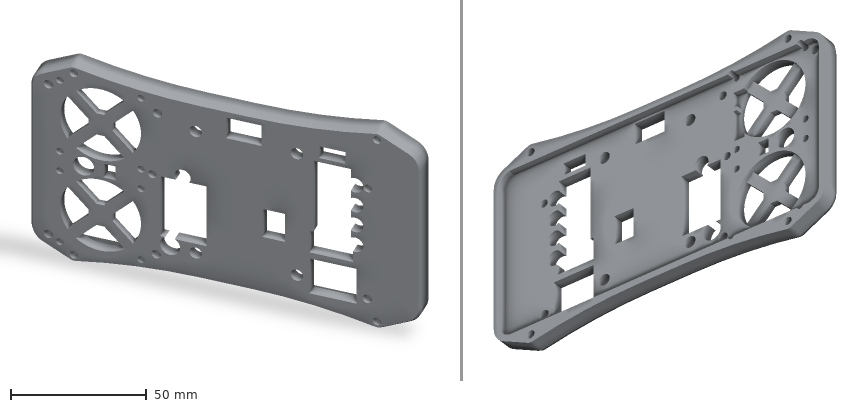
import cadquery as cq
import math

length = 154.2
thickness = 8.0
back_y = thickness / 2

waist_half_height = 39.6
waist_half_flat = 10.0
ear_x = 59.8
ear_z = 41.0
ear_radius = 3.5
corner_radius = 8.0
corner_x = length / 2 - corner_radius
corner_z = 31.5

chamfer_inset = 1.0
chamfer_depth = 1.5

web_thickness = 4.6
rim_width = 2.8
pocket_depth = thickness - web_thickness
pocket_half_height = waist_half_height - rim_width

fan_x = -49.3
fan_offset_z = 20.43
fan_radius = 16.0
fan_hub_size = 9.5
fan_spoke_width = 4.6
fan_spoke_thickness = 3.0
fan_screw_pitch = 32.0
fan_screw_diameter = 3.0

strip_left = -37.0
strip_right = -31.8
strip_thickness = 1.7
strip_bottom = 8.5
strip_top = 30.4
strip_rib_bottom = 22.0
strip_rib_top = 23.7

round_holes = [
    (-56.0, 0, 8.3),
    (-69.9, 33.6, 3.7),
    (-69.9, -34.1, 3.7),
    (-26.8, 31.3, 3.7),
    (-28.8, 3.2, 3.4),
    (-27.3, -32.5, 3.7),
    (56.3, 18.2, 3.4),
    (56.0, -31.8, 3.7),
]
ear_hole_diameter = 3.4
post_hole_diameter = 5.0
post_hole_xs = (-11.7, 28.2)
post_hole_zs = (26.8, -28.0)

plain_windows = [
    (-48.1, -3.1, -43.3, 3.1),
    (0.3, 26.8, 14.2, 36.1),
    (14.6, -14.2, 23.6, -1.5),
    (37.0, 27.1, 47.3, 32.4),
    (33.2, -35.0, 51.8, -19.3),
]

left_window = (-25.8, -23.9, -7.5, 3.1)
left_notches = [(-17.0, 5.0, 6.5), (-21.9, -27.5, 8.0)]

right_window_step_z = -6.8
right_window_upper = (34.7, right_window_step_z, 49.5, 25.3)
right_window_lower = (33.2, -16.5, 50.5, right_window_step_z)
notch_x = 51.2
notch_top_z = 18.3
notch_pitch = 9.0
notch_count = 4
notch_diameter = 6.5


def back_plane():
    """Sketch plane on the back face, with local axes X and Z; extruding goes toward the front."""
    return cq.Workplane("XZ", origin=(0, back_y, 0))


def on_circle(center, radius, angle):
    return (center[0] + radius * math.cos(angle), center[1] + radius * math.sin(angle))


def outline_prism(inset, depth):
    """Prism of the plate outline moved inward by inset, extruded forward from the back face."""
    ear = (ear_x, ear_z)
    corner = (corner_x, corner_z)
    half_height = waist_half_height - inset
    ear_r = ear_radius - inset
    corner_r = corner_radius - inset

    run = ear_x - waist_half_flat
    rise = ear_z - half_height
    waist_r = (run**2 + rise**2 - ear_r**2) / (2 * (ear_r + rise))
    waist = (waist_half_flat, half_height + waist_r)
    waist_start = -math.pi / 2
    waist_end = math.atan2(ear[1] - waist[1], ear[0] - waist[0])
    ear_start = waist_end + math.pi

    gap = math.hypot(corner_x - ear_x, corner_z - ear_z)
    heading = math.atan2(corner_z - ear_z, corner_x - ear_x)
    edge_normal = heading + math.acos((ear_r - corner_r) / gap)

    quarter = (
        back_plane()
        .lineTo(0, half_height)
        .lineTo(waist_half_flat, half_height)
        .threePointArc(
            on_circle(waist, waist_r, (waist_start + waist_end) / 2),
            on_circle(waist, waist_r, waist_end),
        )
        .threePointArc(
            on_circle(ear, ear_r, (ear_start + edge_normal) / 2),
            on_circle(ear, ear_r, edge_normal),
        )
        .lineTo(*on_circle(corner, corner_r, edge_normal))
        .threePointArc(on_circle(corner, corner_r, edge_normal / 2), on_circle(corner, corner_r, 0))
        .lineTo(length / 2 - inset, 0)
        .close()
        .extrude(depth)
    )
    half = quarter.union(quarter.mirror("YZ"))
    return half.union(half.mirror("XY")).clean()


def chamfered_plate():
    plate = outline_prism(0, thickness)
    front_edges = plate.faces("<Y").edges().vals()
    return cq.Workplane(plate.val().chamfer(chamfer_depth, chamfer_inset, front_edges))


def back_pocket():
    level_band = back_plane().rect(length, 2 * pocket_half_height).extrude(pocket_depth)
    return outline_prism(rim_width, pocket_depth).intersect(level_band)


def hole(x, z, diameter):
    return back_plane().center(x, z).circle(diameter / 2).extrude(thickness)


def window(left, bottom, right, top, depth=thickness):
    center_x = (left + right) / 2
    center_z = (bottom + top) / 2
    return back_plane().center(center_x, center_z).rect(right - left, top - bottom).extrude(depth)


def fan_grille(z):
    """Round opening crossed by two diagonal spokes with a square hub, plus four screw holes."""
    center = back_plane().center(fan_x, z)
    opening = center.circle(fan_radius).extrude(thickness)
    hub = center.rect(fan_hub_size, fan_hub_size).extrude(thickness)
    screws = (
        center.rect(fan_screw_pitch, fan_screw_pitch, forConstruction=True)
        .vertices()
        .circle(fan_screw_diameter / 2)
        .extrude(thickness)
    )
    grille = opening.cut(hub)
    for angle in (45, 135):
        spoke = center.transformed(rotate=(0, 0, angle)).rect(3 * fan_radius, fan_spoke_width)
        grille = grille.cut(spoke.extrude(thickness))
    spoke_relief = center.circle(fan_radius).extrude(thickness - fan_spoke_thickness)
    return grille.union(spoke_relief).union(screws)


result = chamfered_plate().cut(back_pocket())

for fan_z in (fan_offset_z, -fan_offset_z):
    result = result.cut(fan_grille(fan_z))

strip_depth = thickness - strip_thickness
for bottom, top in ((strip_bottom, strip_rib_bottom), (strip_rib_top, strip_top)):
    result = result.cut(window(strip_left, bottom, strip_right, top, strip_depth))

for x in (-ear_x, ear_x):
    for z in (-ear_z, ear_z):
        result = result.cut(hole(x, z, ear_hole_diameter))

for x in post_hole_xs:
    for z in post_hole_zs:
        result = result.cut(hole(x, z, post_hole_diameter))

for x, z, diameter in round_holes + left_notches:
    result = result.cut(hole(x, z, diameter))

for sides in plain_windows + [left_window, right_window_upper, right_window_lower]:
    result = result.cut(window(*sides))

for i in range(notch_count):
    result = result.cut(hole(notch_x, notch_top_z - i * notch_pitch, notch_diameter))